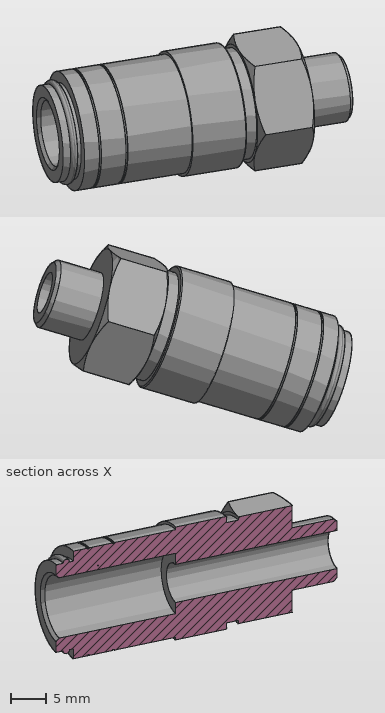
import cadquery as cq
import math

total_length = 44.0
body_start = 2.7
sleeve_start = 18.7
sleeve_end = 26.75
hex_start = 28.5
hex_end = 37.0

nose_diameter = 14.0
body_diameter = 17.15
sleeve_diameter = 18.0
neck_diameter = 16.0
spigot_diameter = 10.0

across_corners = 19.62
across_flats = across_corners * math.cos(math.pi / 6)
hex_chamfer_angle = math.radians(30)

sleeve_chamfer = 0.18
spigot_chamfer = 0.55
groove_width = 0.25
groove_depth = 0.15
groove_starts = (4.95, 8.9)
ring_center = 1.65
ring_thickness = 1.05

through_diameter = 6.0
socket_diameter = 9.5
socket_depth = sleeve_start
mouth_chamfer = 0.5


def cylinder(diameter, start, end):
    """Cylinder on the Y axis between two stations."""
    plane = cq.Plane(origin=(0, start, 0), xDir=(1, 0, 0), normal=(0, 1, 0))
    return cq.Workplane(plane).circle(diameter / 2).extrude(end - start)


def revolve_about_y(outline):
    """Revolve a closed XY outline about the Y axis."""
    return outline.revolve(360, (0, 0, 0), (0, 1, 0))


def make_hexagon():
    """Hexagon with corners on X, its corners turned off conically at both ends."""
    plane = cq.Plane(origin=(0, hex_start, 0), xDir=(1, 0, 0), normal=(0, 1, 0))
    prism = cq.Workplane(plane).polygon(6, across_corners).extrude(hex_end - hex_start)
    face_radius = across_flats / 2
    corner_radius = across_corners / 2
    corner_drop = (corner_radius - face_radius) * math.tan(hex_chamfer_angle)
    envelope = revolve_about_y(
        cq.Workplane("XY").polyline([
            (0, hex_start),
            (face_radius, hex_start),
            (corner_radius, hex_start + corner_drop),
            (corner_radius, hex_end - corner_drop),
            (face_radius, hex_end),
            (0, hex_end),
        ]).close()
    )
    return prism.intersect(envelope)


def make_body():
    """Body cylinder with narrow ring grooves."""
    body = cylinder(body_diameter, body_start, sleeve_start)
    for start in groove_starts:
        end = start + groove_width
        groove = cylinder(body_diameter, start, end)
        core = cylinder(body_diameter - 2 * groove_depth, start, end)
        body = body.cut(groove.cut(core))
    return body


def make_seal_ring():
    """Round-section ring seated on the nose."""
    section = cq.Workplane("XY").center(nose_diameter / 2, ring_center).circle(ring_thickness / 2)
    return section.revolve(360, (-nose_diameter / 2, 0, 0), (-nose_diameter / 2, 1, 0))


def make_bores():
    """Through hole and socket with a conical mouth."""
    socket_radius = socket_diameter / 2
    mouth = revolve_about_y(
        cq.Workplane("XY").polyline([
            (0, 0),
            (socket_radius + mouth_chamfer, 0),
            (socket_radius, mouth_chamfer),
            (0, mouth_chamfer),
        ]).close()
    )
    through_hole = cylinder(through_diameter, 0, total_length)
    return through_hole.union(cylinder(socket_diameter, 0, socket_depth)).union(mouth)


nose = cylinder(nose_diameter, 0, body_start)
sleeve = cylinder(sleeve_diameter, sleeve_start, sleeve_end).faces(">Y").edges().chamfer(sleeve_chamfer)
neck = cylinder(neck_diameter, sleeve_end, hex_start)
spigot = cylinder(spigot_diameter, hex_end, total_length).faces(">Y").edges().chamfer(spigot_chamfer)

result = nose.union(make_seal_ring())
for section in (make_body(), sleeve, neck, make_hexagon(), spigot):
    result = result.union(section)
result = result.cut(make_bores())